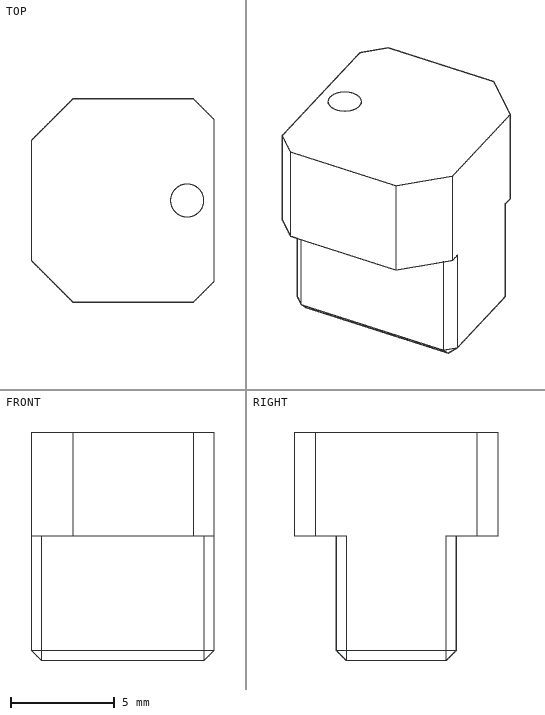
import cadquery as cq
import math

length = 8.8
head_width = 9.8
total_height = 11.0

head_height = 5.0
left_corner = 2.0
right_corner = 1.0

stem_height = total_height - head_height
stem_width = head_width - 2 * left_corner
stem_chamfer = 0.5

hole_diameter = 1.6
hole_edge_distance = 1.3
hole_depth = 2 * hole_diameter
drill_point_angle = 118.0


def make_head():
    """Block with larger corner cuts on -X than on +X."""
    block = cq.Workplane("XY").workplane(offset=stem_height).box(
        length, head_width, head_height, centered=(True, True, False)
    )
    block = block.edges("|Z and <X").chamfer(left_corner)
    return block.edges("|Z and >X").chamfer(right_corner)


def make_stem():
    """Block with chamfered vertical edges and bottom rim, meeting in corner triangles."""
    block = cq.Workplane("XY").box(
        length, stem_width, stem_height, centered=(True, True, False)
    )
    return block.edges("|Z or <Z").chamfer(stem_chamfer)


def make_hole():
    """Straight hole with a conical drill point, as a solid to cut away."""
    radius = hole_diameter / 2
    point_depth = radius / math.tan(math.radians(drill_point_angle / 2))
    profile = (
        cq.Workplane("XZ")
        .moveTo(0, 0)
        .lineTo(radius, 0)
        .lineTo(radius, -hole_depth)
        .lineTo(0, -hole_depth - point_depth)
        .close()
    )
    drill = profile.revolve(360, (0, 0, 0), (0, 1, 0))
    return drill.translate((length / 2 - hole_edge_distance, 0, total_height))


result = make_head().union(make_stem()).cut(make_hole())